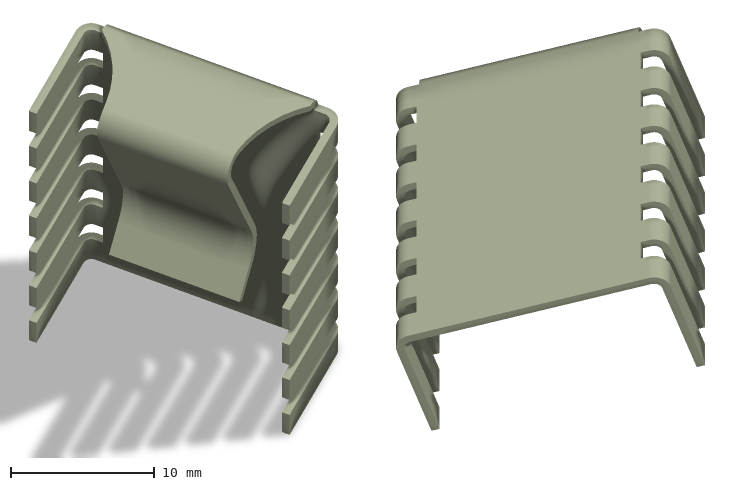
import cadquery as cq
import math

overall_width = 20.0
overall_depth = 9.0
overall_height = 27.0
sheet = 0.6
fold_radius = 1.2
plate_height = overall_height - fold_radius

fin_count = 7
fin_height = 2.25
fin_pitch = (plate_height - fin_height) / (fin_count - 1)
web_width = 16.4

shelf_length = 5.7
nose_radius = 1.62
spring_angle = 21.8
spring_length = 10.6
contact_radius = 3.5
nose_bottom = overall_height - nose_radius * (1 + math.sin(math.radians(spring_angle)))
lip_angle = 38.0
lip_length = 2.56

shelf_width = 16.0
spring_width = 10.0
waist_radius = 9.0


def side_fins():
    """Rows of fins folded forward from both edges of the plate."""
    channel = (
        cq.Workplane("XY")
        .rect(overall_width, 2 * overall_depth)
        .extrude(fin_height)
        .edges("|Z")
        .fillet(fold_radius)
    )
    hollow = (
        cq.Workplane("XY")
        .rect(overall_width - 2 * sheet, 2 * (overall_depth - sheet))
        .extrude(fin_height)
        .edges("|Z")
        .fillet(fold_radius - sheet)
    )
    front_half = (
        cq.Workplane("XY")
        .box(overall_width, overall_depth, fin_height, centered=(True, False, False))
    )
    fin_pair = channel.cut(hollow).intersect(front_half).translate((0, -overall_depth, 0))
    fins = fin_pair
    for index in range(1, fin_count):
        fins = fins.union(fin_pair.translate((0, 0, index * fin_pitch)))
    return fins


def folded_strip(steps, width):
    """Strip of sheet that rises from Z = 0 along the back and follows the steps.

    Each step is a straight run (length, 0) or a bend (mid-sheet radius, turn in degrees);
    a positive turn leans the strip forward, then down.
    """
    y, z, heading = -sheet / 2, 0.0, 0.0
    path = cq.Workplane("YZ").moveTo(y, z)
    for size, turn_degrees in steps:
        turn = math.radians(turn_degrees)
        run = 2 * size * math.sin(abs(turn) / 2) if turn else size
        y -= run * math.sin(heading + turn / 2)
        z += run * math.cos(heading + turn / 2)
        heading += turn
        path = path.tangentArcPoint((y, z), relative=False) if turn else path.lineTo(y, z)
    section = cq.Workplane("XY").center(0, -sheet / 2).rect(width, sheet)
    return section.sweep(path)


def waist_cutters():
    """Blocks on both sides of the clip, in front of the top fold.

    Their inner faces are rounded beside the shelf and the nose, and flat beside the spring.
    """
    shelf_side = shelf_width / 2
    arc_centre_x = spring_width / 2 + waist_radius
    arc_rise = math.sqrt(waist_radius**2 - (arc_centre_x - shelf_side) ** 2)
    waist_y = -fold_radius - arc_rise
    mid_angle = math.asin(arc_rise / waist_radius) / 2
    arc_middle = (
        arc_centre_x - waist_radius * math.cos(mid_angle),
        waist_y + waist_radius * math.sin(mid_angle),
    )
    rounded_block = (
        cq.Workplane("XY")
        .moveTo(shelf_side, -fold_radius)
        .threePointArc(arc_middle, (spring_width / 2, waist_y))
        .lineTo(spring_width / 2, -overall_depth)
        .lineTo(shelf_side, -overall_depth)
        .close()
        .extrude(overall_height)
    )
    straight_block = (
        cq.Workplane("XY")
        .moveTo(spring_width / 2, -fold_radius)
        .lineTo(shelf_side, -fold_radius)
        .lineTo(shelf_side, -overall_depth)
        .lineTo(spring_width / 2, -overall_depth)
        .close()
        .extrude(nose_bottom)
    )
    cutter = rounded_block.union(straight_block)
    return cutter.union(cutter.mirror("YZ"))


def plate_web():
    """Flat plate between the fin folds."""
    return (
        cq.Workplane("XY")
        .box(web_width, sheet, plate_height, centered=(True, False, False))
        .translate((0, -sheet, 0))
    )


def plate_with_clip():
    """Middle of the plate carried over the top and folded down into the spring clip."""
    strip = folded_strip(
        [
            (plate_height, 0),
            (fold_radius - sheet / 2, 90),
            (shelf_length, 0),
            (nose_radius - sheet / 2, 90 + spring_angle),
            (spring_length, 0),
            (contact_radius + sheet / 2, -spring_angle - lip_angle),
            (lip_length, 0),
        ],
        shelf_width,
    )
    return strip.cut(waist_cutters())


result = plate_web().union(side_fins()).union(plate_with_clip())